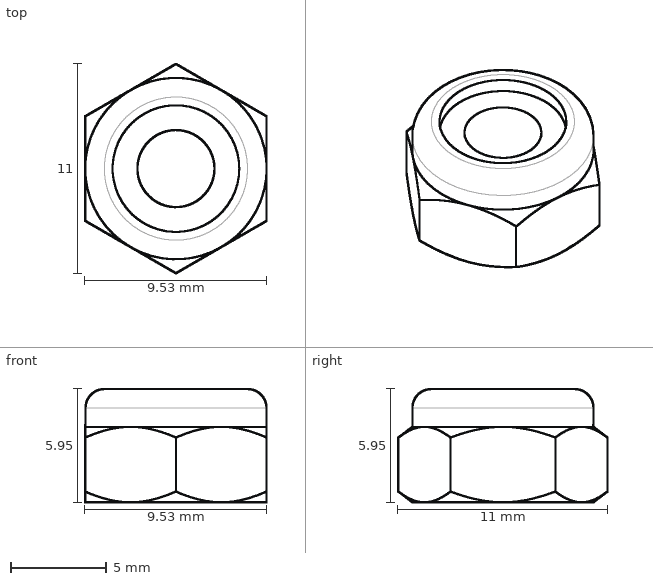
import cadquery as cq
import math

across_corners = 11.0
total_height = 5.95
hex_height = 3.96
corner_drop = 0.56
collar_rounding = 1.0
bore_diameter = 4.04
recess_diameter = 6.65
recess_depth = 0.77

corner_radius = across_corners / 2
flat_radius = corner_radius * math.cos(math.radians(30))


def chamfered_hexagon():
    """Hexagonal body with corners on the Y axis, trimmed by a cone at both ends."""
    prism = (
        cq.Workplane("XY")
        .polygon(6, across_corners)
        .extrude(hex_height)
        .rotate((0, 0, 0), (0, 0, 1), 90)
    )
    trimming_body = (
        cq.Workplane("XZ")
        .moveTo(0, 0)
        .lineTo(flat_radius, 0)
        .lineTo(corner_radius, corner_drop)
        .lineTo(corner_radius, hex_height - corner_drop)
        .lineTo(flat_radius, hex_height)
        .lineTo(0, hex_height)
        .close()
        .revolve(360, (0, 0, 0), (0, 1, 0))
    )
    return prism.intersect(trimming_body)


def rounded_collar():
    """Round collar as wide as the flats, running through the body to the top."""
    return (
        cq.Workplane("XY")
        .circle(flat_radius)
        .extrude(total_height)
        .faces(">Z")
        .edges()
        .fillet(collar_rounding)
    )


def opening():
    """Through bore with a wider, shallow recess at the top."""
    bore = cq.Workplane("XY").circle(bore_diameter / 2).extrude(total_height)
    recess = (
        cq.Workplane("XY")
        .workplane(offset=total_height - recess_depth)
        .circle(recess_diameter / 2)
        .extrude(recess_depth)
    )
    return bore.union(recess)


result = chamfered_hexagon().union(rounded_collar()).cut(opening())